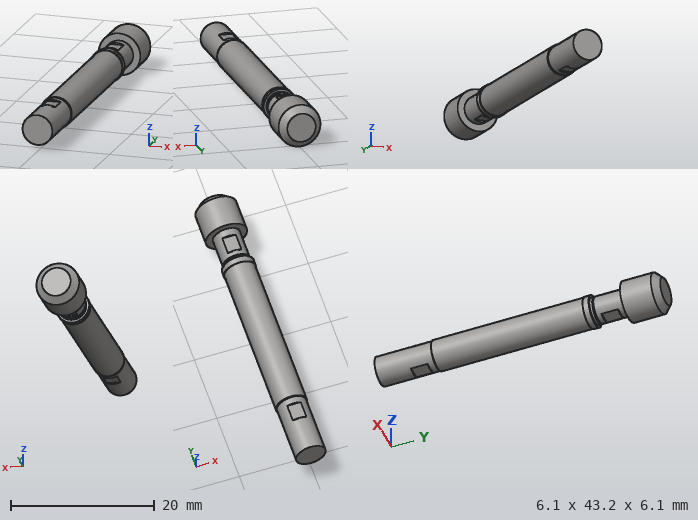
import cadquery as cq

total_length = 43.2

head_diameter = 6.1
head_chamfer = 1.0
head_length = 5.65

neck_diameter = 4.0
neck_end = 10.1
groove_width = 0.2
groove_depth = 0.15

collar_diameter = 4.75
collar_start = 10.7
collar_end = 11.6

barrel_diameter = 4.6
barrel_end = 34.65
barrel_chamfer = 0.1

tail_diameter = 4.35

flat_width = 2.0
flat_length = 2.5
neck_flat_start = 6.83
tail_flat_start = 35.7


def axial(station):
    """Y coordinate of a station measured from the head end."""
    return total_length / 2 - station


def turned_body():
    """Revolve the stepped half-section about the Y axis."""
    head_radius = head_diameter / 2
    neck_radius = neck_diameter / 2
    collar_radius = collar_diameter / 2
    barrel_radius = barrel_diameter / 2
    tail_radius = tail_diameter / 2

    profile = [
        (0, 0),
        (head_radius - head_chamfer, 0),
        (head_radius, head_chamfer),
        (head_radius, head_length),
        (neck_radius, head_length),
        (neck_radius, neck_end),
        (neck_radius - groove_depth, neck_end + groove_width / 2),
        (neck_radius, neck_end + groove_width),
        (neck_radius, collar_start),
        (collar_radius, collar_start),
        (collar_radius, collar_end),
        (barrel_radius, collar_end),
        (barrel_radius, barrel_end - barrel_chamfer),
        (barrel_radius - barrel_chamfer, barrel_end),
        (tail_radius, barrel_end),
        (tail_radius, total_length),
        (0, total_length),
    ]
    outline = [(radius, axial(station)) for radius, station in profile]
    return cq.Workplane("XY").polyline(outline).close().revolve(360, (0, 0, 0), (0, 1, 0))


def flat_pair(shaft_diameter, start):
    """Cutters for two opposite flats, on +Z and -Z, each flat_width wide across the shaft."""
    shaft_radius = shaft_diameter / 2
    flat_height = (shaft_radius**2 - (flat_width / 2) ** 2) ** 0.5
    blank = cq.Workplane("XY").box(shaft_diameter, flat_length, shaft_diameter)
    core = cq.Workplane("XY").box(shaft_diameter, flat_length, 2 * flat_height)
    return blank.cut(core).translate((0, axial(start + flat_length / 2), 0))


result = turned_body()
for shaft_diameter, start in ((neck_diameter, neck_flat_start), (tail_diameter, tail_flat_start)):
    result = result.cut(flat_pair(shaft_diameter, start))